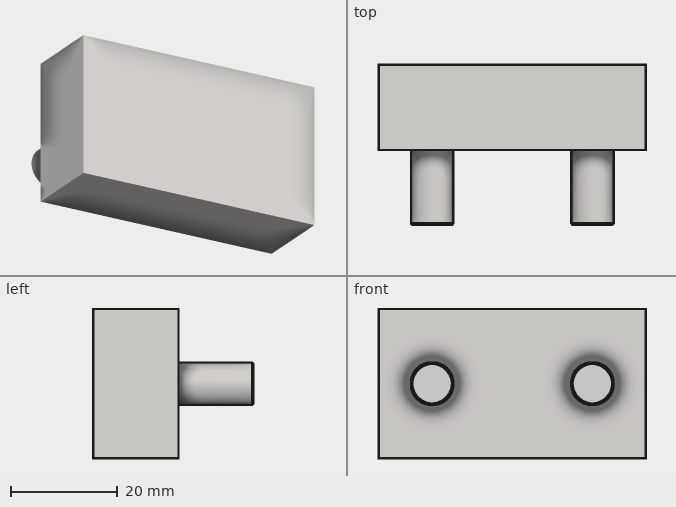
import cadquery as cq

block_length = 50.0
block_depth = 16.0
block_height = 28.0

pin_diameter = 8.0
pin_projection = 14.0
pin_chamfer = 0.3
pin_spacing = 30.0
first_pin_x = -15.0
pin_count = 2


def make_block():
    """Plain block whose mounting face lies on the plane Y = 0."""
    return cq.Workplane("XY").box(block_length, block_depth, block_height, centered=(True, False, True))


def make_pin(pin_x):
    """Round pin seated on the mounting face, with a chamfered free end."""
    return (
        cq.Workplane("XZ")
        .center(pin_x, 0)
        .circle(pin_diameter / 2)
        .extrude(pin_projection)
        .faces("<Y")
        .chamfer(pin_chamfer)
    )


block = make_block()
pins = [make_pin(first_pin_x + index * pin_spacing) for index in range(pin_count)]

result = cq.Compound.makeCompound([block.val(), *[pin.val() for pin in pins]])